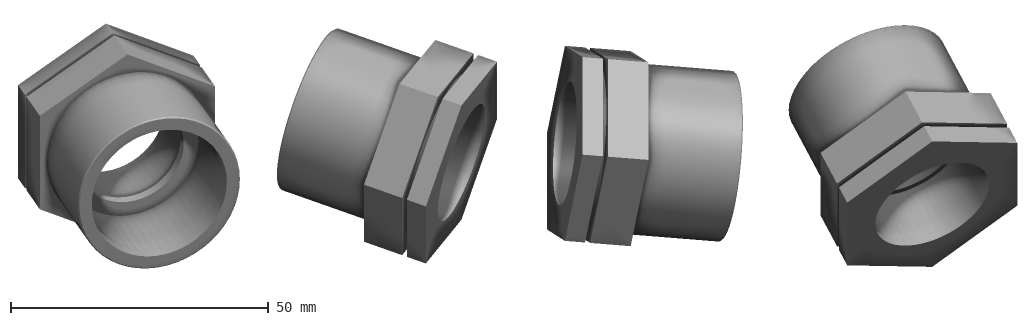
import cadquery as cq
import math

corner_width = 41.55
flats_width = corner_width * math.cos(math.pi / 6)
flange_thickness = 4.0
groove_width = 1.0
nut_thickness = 8.02

total_length = 32.0
body_diameter = 33.25
end_chamfer = 0.25

entry_diameter = 24.1
entry_depth = 12.95
throat_diameter = 21.7
throat_length = 2.0

socket_diameter = 27.73


def hexagon(start, thickness):
    """Hexagonal plate with corners on the Z axis."""
    plane = cq.Workplane("YZ", origin=(start, 0, 0))
    return plane.transformed(rotate=(0, 0, 90)).polygon(6, corner_width).extrude(thickness)


def cylinder(start, length, diameter):
    """Solid round bar along X."""
    return cq.Workplane("YZ", origin=(start, 0, 0)).circle(diameter / 2).extrude(length)


body = cylinder(0, total_length, body_diameter).faces(">X").chamfer(end_chamfer)
flange = hexagon(0, flange_thickness)
nut = hexagon(flange_thickness + groove_width, nut_thickness)
entry = cylinder(0, entry_depth, entry_diameter)
throat = cylinder(0, total_length, throat_diameter)
socket_start = entry_depth + throat_length
socket = cylinder(socket_start, total_length - socket_start, socket_diameter)

result = body.union(flange).union(nut).cut(entry).cut(throat).cut(socket)